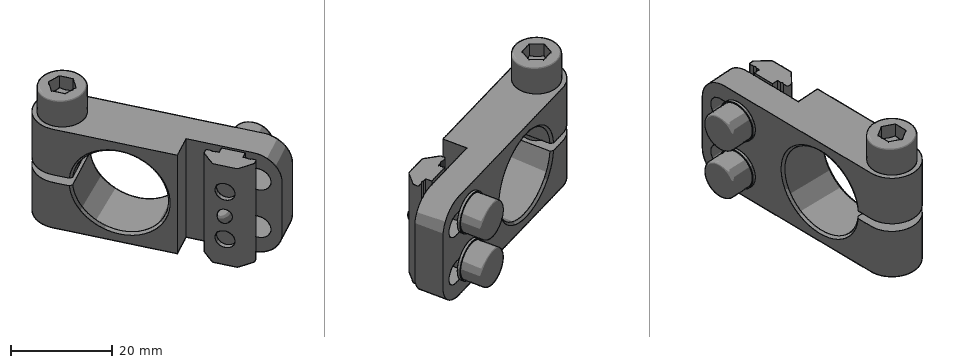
import cadquery as cq
import math


length = 52.0
height = 25.0
thickness = 12.0
end_radius = thickness / 2
back_y = thickness / 2
front_y = -back_y
mid_z = height / 2

step_x = 32.0
flange_thickness = 6.5
flange_corner_radius = 6.05
flange_front_y = back_y - flange_thickness

bore_x = 19.95
bore_diameter = 20.0
bore_chamfer = 0.5
slit_width = 1.9

clamp_screw_x = end_radius
clamp_shank_diameter = 6.0
clamp_head_diameter = 10.0
clamp_head_height = 6.7
clamp_head_rounding = 0.6
socket_across_flats = 5.0
socket_depth = 3.0
socket_tip_depth = 1.45

flange_screw_x = 42.0
flange_screw_spacing = 12.0
flange_screw_zs = [mid_z - flange_screw_spacing / 2, mid_z + flange_screw_spacing / 2]
flange_shank_diameter = 5.0
flange_head_diameter = 8.5
flange_head_height = 5.0
flange_head_rounding = 0.5
washer_diameter = 9.0
washer_thickness = 0.6
slot_width = 5.3
slot_travel = 5.0

nut_gap = 0.55
nut_neck_width = 5.0
nut_neck_height = 1.4
nut_width = 10.5
nut_side_height = 1.2
nut_wing_height = 3.85
nut_edge_rounding = 0.5
nut_bottom_rounding = 0.6
nut_lip_rounding = 0.3
groove_offset = 3.7
groove_width = 0.8
groove_depth = 0.15
nut_hole_diameter = 4.15
nut_hole_depth = 1.0
ball_diameter = 3.1

nut_top_y = flange_front_y - nut_gap
wing_top_y = nut_top_y - nut_neck_height
nut_bottom_y = wing_top_y - nut_wing_height


def rod_along_y(diameter, x, z, start_y, end_y):
    """Cylinder parallel to Y between two Y positions."""
    return (
        cq.Workplane("XZ", origin=(x, start_y, z))
        .circle(diameter / 2)
        .extrude(start_y - end_y)
    )


def clamp_body():
    """Round-ended block, stepped down to a flange with two rounded corners."""
    body = (
        cq.Workplane("XY")
        .moveTo(end_radius, front_y)
        .lineTo(step_x, front_y)
        .lineTo(step_x, flange_front_y)
        .lineTo(length, flange_front_y)
        .lineTo(length, back_y)
        .lineTo(end_radius, back_y)
        .threePointArc((0, 0), (end_radius, front_y))
        .close()
        .extrude(height)
    )
    body = body.edges("|Y and >X").fillet(flange_corner_radius)

    bore = rod_along_y(bore_diameter, bore_x, mid_z, front_y, back_y)
    slit = (
        cq.Workplane("XY")
        .box(bore_x, thickness, slit_width, centered=(False, True, True))
        .translate((0, 0, mid_z))
    )
    return body.cut(bore_countersink(-1)).cut(bore_countersink(1)).cut(bore).cut(slit)


def bore_countersink(side):
    """45 degree cone that breaks the bore edge on the -Y (side=-1) or +Y (side=1) face."""
    mouth_radius = bore_diameter / 2 + bore_chamfer
    cone = cq.Solid.makeCone(
        mouth_radius,
        bore_diameter / 2,
        bore_chamfer,
        cq.Vector(bore_x, side * back_y, mid_z),
        cq.Vector(0, -side, 0),
    )
    return cq.Workplane(obj=cone)


def flange_slots():
    """Slots that let the flange screws be moved toward the flange end."""
    slot_centers = [(flange_screw_x + slot_travel / 2, z) for z in flange_screw_zs]
    return (
        cq.Workplane("XZ", origin=(0, back_y, 0))
        .pushPoints(slot_centers)
        .slot2D(slot_travel + slot_width, slot_width)
        .extrude(flange_thickness)
    )


def clamp_screw():
    """Cap screw with a hexagon socket; its shank bridges the slit."""
    head = (
        cq.Workplane("XY", origin=(clamp_screw_x, 0, height))
        .circle(clamp_head_diameter / 2)
        .extrude(clamp_head_height)
        .faces(">Z")
        .edges()
        .fillet(clamp_head_rounding)
    )
    shank = (
        cq.Workplane("XY", origin=(clamp_screw_x, 0, 0))
        .circle(clamp_shank_diameter / 2)
        .extrude(height)
    )
    return head.cut(hexagon_socket()).union(shank)


def hexagon_socket():
    """Hexagonal recess whose floor is a shallow cone."""
    across_corners = 2 * socket_across_flats / math.sqrt(3)
    head_top_z = height + clamp_head_height
    hexagon = (
        cq.Workplane("XY", origin=(clamp_screw_x, 0, head_top_z))
        .polygon(6, across_corners)
        .extrude(-socket_depth - socket_tip_depth)
    )
    straight_part = (
        cq.Workplane("XY", origin=(clamp_screw_x, 0, head_top_z))
        .circle(across_corners / 2)
        .extrude(-socket_depth)
    )
    cone = cq.Solid.makeCone(
        across_corners / 2,
        0,
        socket_tip_depth,
        cq.Vector(clamp_screw_x, 0, head_top_z - socket_depth),
        cq.Vector(0, 0, -1),
    )
    return hexagon.intersect(straight_part.union(cq.Workplane(obj=cone)))


def flange_screw(z):
    """Cap screw with washer on the back face, reaching into the T-nut."""
    washer_y = back_y + washer_thickness
    head_y = washer_y + flange_head_height
    head = rod_along_y(flange_head_diameter, flange_screw_x, z, head_y, washer_y)
    head = head.faces(">Y").edges().fillet(flange_head_rounding)
    washer = rod_along_y(washer_diameter, flange_screw_x, z, washer_y, back_y)
    shank = rod_along_y(flange_shank_diameter, flange_screw_x, z, back_y, wing_top_y)
    return head.union(washer).union(shank)


def t_nut():
    """T-slot nut with grooved wings, two screw holes and a detent ball."""
    half_neck = nut_neck_width / 2
    half_width = nut_width / 2
    side_bottom_y = wing_top_y - nut_side_height
    half_bottom = half_width - (side_bottom_y - nut_bottom_y)

    nut = (
        cq.Workplane("XY")
        .polyline(
            [
                (-half_neck, nut_top_y),
                (half_neck, nut_top_y),
                (half_neck, wing_top_y),
                (half_width, wing_top_y),
                (half_width, side_bottom_y),
                (half_bottom, nut_bottom_y),
                (-half_bottom, nut_bottom_y),
                (-half_width, side_bottom_y),
                (-half_width, wing_top_y),
                (-half_neck, wing_top_y),
            ]
        )
        .close()
        .extrude(height)
    )

    nut = nut.edges("|Z and (<X or >X)").edges(">Y").fillet(nut_lip_rounding)
    nut = nut.edges("|Z and (<X or >X)").edges("<Y").fillet(nut_edge_rounding)
    nut = nut.edges("|Z and <Y").fillet(nut_bottom_rounding)

    for groove_x in (-groove_offset, groove_offset):
        groove = (
            cq.Workplane("XY")
            .moveTo(groove_x - groove_width / 2, wing_top_y)
            .threePointArc(
                (groove_x, wing_top_y - groove_depth),
                (groove_x + groove_width / 2, wing_top_y),
            )
            .close()
            .extrude(height)
        )
        nut = nut.cut(groove)

    nut = nut.translate((flange_screw_x, 0, 0))
    hole_floor_y = nut_bottom_y + nut_hole_depth
    for z in flange_screw_zs:
        nut = nut.cut(rod_along_y(nut_hole_diameter, flange_screw_x, z, hole_floor_y, nut_bottom_y))

    ball = cq.Workplane("XY").sphere(ball_diameter / 2).translate((flange_screw_x, nut_bottom_y, mid_z))
    return nut.union(ball)


result = clamp_body().cut(flange_slots()).union(clamp_screw()).union(t_nut())
for screw_z in flange_screw_zs:
    result = result.union(flange_screw(screw_z))